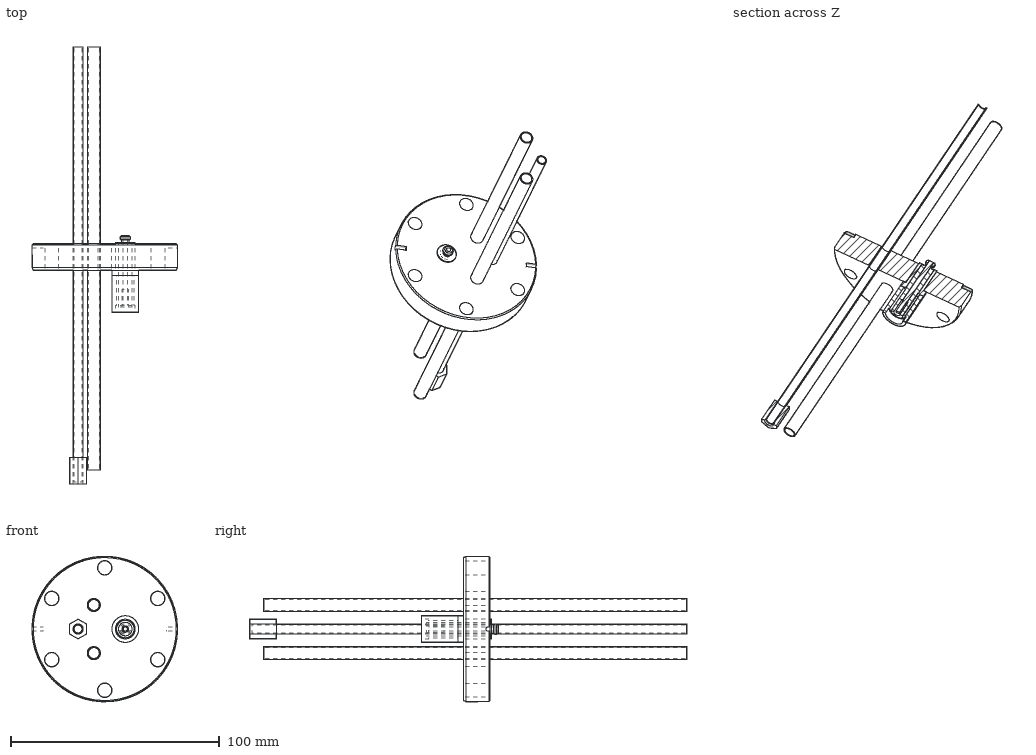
import cadquery as cq
import math

FRONT_END = -104.8
REAR_END = 104.8

FLANGE_DIAMETER = 69.8
FLANGE_THICKNESS = 12.8
FLANGE_REAR = 10.5
FLANGE_FRONT = FLANGE_REAR - FLANGE_THICKNESS
RIM_CHAMFER = 0.6
FRONT_CHAMFER_LENGTH = 1.3
BOLT_COUNT = 6
BOLT_CIRCLE_DIAMETER = 58.7
BOLT_HOLE_DIAMETER = 6.7

GROOVE_WIDTH = 2.03
GROOVE_DEPTH = 2.03
GROOVE_LENGTH = 5.2

TUBE_DIAMETER = 6.3
TUBE_BORE = 5.2
TUBE_X = -5.2
TUBE_SPACING = 23.0
TUBE_HEIGHTS = (-TUBE_SPACING / 2, TUBE_SPACING / 2)
TUBE_FRONT = -98.0

THIN_TUBE_DIAMETER = 4.8
THIN_TUBE_BORE = 3.8
THIN_TUBE_X = -12.8
HEX_CORNER_DIAMETER = 9.5
HEX_LENGTH = 12.8
HEX_REAR = FRONT_END + HEX_LENGTH
HEX_RECESS_DEPTH = 1.0

CONNECTOR_X = 9.8
BARREL_DIAMETER = 12.8
BARREL_BORE = 8.4
BARREL_MOUTH_DIAMETER = 9.5
BARREL_MOUTH_DEPTH = 3.4
BARREL_FRONT = -22.5
COLLAR_FRONT = -4.8
STEM_DIAMETER = 9.5
STEM_PROJECTION = 0.6
STEM_REAR = FLANGE_REAR + STEM_PROJECTION
INSULATOR_DIAMETER = 6.5
INSULATOR_FRONT = -20.0
RECESS_DIAMETER = 3.1
RECESS_DEPTH = 8.4
KNOB_DIAMETER = 5.0
KNOB_PROJECTION = 3.4
KNOB_REAR = STEM_REAR + KNOB_PROJECTION
KNOB_CHAMFER = 0.8
KNOB_LENGTH = 2.5
KNOB_NECK_DIAMETER = 3.8
PIN_DIAMETER = 2.03
PIN_FRONT = -18.9


def rod(diameter, y_start, y_end, x=0.0, z=0.0):
    """Cylinder along Y between two Y positions."""
    base = cq.Workplane("XZ", origin=(x, y_start, z)).circle(diameter / 2)
    return base.extrude(y_start - y_end)


def make_flange():
    radius = FLANGE_DIAMETER / 2
    profile = [
        (0, FLANGE_FRONT),
        (radius - RIM_CHAMFER, FLANGE_FRONT),
        (radius, FLANGE_FRONT + FRONT_CHAMFER_LENGTH),
        (radius, FLANGE_REAR - RIM_CHAMFER),
        (radius - RIM_CHAMFER, FLANGE_REAR),
        (0, FLANGE_REAR),
    ]
    flange = cq.Workplane("XY").polyline(profile).close().revolve(360, (0, 0, 0), (0, 1, 0))
    for i in range(BOLT_COUNT):
        angle = math.radians(90 + i * 360 / BOLT_COUNT)
        x = BOLT_CIRCLE_DIAMETER / 2 * math.cos(angle)
        z = BOLT_CIRCLE_DIAMETER / 2 * math.sin(angle)
        flange = flange.cut(rod(BOLT_HOLE_DIAMETER, FLANGE_FRONT, FLANGE_REAR, x, z))
    for side in (-1, 1):
        flange = flange.cut(make_groove_cutter(side))
    for z in TUBE_HEIGHTS:
        flange = flange.cut(rod(TUBE_DIAMETER, FLANGE_FRONT, FLANGE_REAR, TUBE_X, z))
    flange = flange.cut(rod(THIN_TUBE_DIAMETER, FLANGE_FRONT, FLANGE_REAR, THIN_TUBE_X))
    return flange.cut(rod(STEM_DIAMETER, FLANGE_FRONT, FLANGE_REAR, CONNECTOR_X))


def make_groove_cutter(side):
    """Radial groove with a half-round floor, on the -X (side = -1) or +X (side = 1) rim."""
    half_width = GROOVE_WIDTH / 2
    floor = FLANGE_REAR - GROOVE_DEPTH
    start_x = side * FLANGE_DIAMETER / 2
    return (
        cq.Workplane("YZ", origin=(start_x, 0, 0))
        .moveTo(FLANGE_REAR, -half_width)
        .lineTo(floor + half_width, -half_width)
        .threePointArc((floor, 0), (floor + half_width, half_width))
        .lineTo(FLANGE_REAR, half_width)
        .close()
        .extrude(-side * GROOVE_LENGTH)
    )


def make_tube(z):
    outside = rod(TUBE_DIAMETER, TUBE_FRONT, REAR_END, TUBE_X, z)
    return outside.cut(rod(TUBE_BORE, TUBE_FRONT, REAR_END, TUBE_X, z))


def make_thin_tube():
    front = FRONT_END + HEX_RECESS_DEPTH
    outside = rod(THIN_TUBE_DIAMETER, front, REAR_END, THIN_TUBE_X)
    return outside.cut(rod(THIN_TUBE_BORE, front, REAR_END, THIN_TUBE_X))


def make_hex_fitting():
    """Hexagonal sleeve with corners at +Z and -Z, bored through for the thin tube."""
    fitting = (
        cq.Workplane("XZ", origin=(THIN_TUBE_X, HEX_REAR, 0))
        .transformed(rotate=(0, 0, 90))
        .polygon(6, HEX_CORNER_DIAMETER)
        .extrude(HEX_LENGTH)
    )
    return fitting.cut(rod(THIN_TUBE_DIAMETER, FRONT_END, HEX_REAR, THIN_TUBE_X))


def make_barrel():
    outside = rod(BARREL_DIAMETER, BARREL_FRONT, COLLAR_FRONT, CONNECTOR_X)
    mouth = rod(BARREL_MOUTH_DIAMETER, BARREL_FRONT, BARREL_FRONT + BARREL_MOUTH_DEPTH, CONNECTOR_X)
    return outside.cut(mouth).cut(rod(BARREL_BORE, BARREL_FRONT, COLLAR_FRONT, CONNECTOR_X))


def make_collar():
    """Mounting collar on the front face, with a stem through the flange."""
    collar = rod(BARREL_DIAMETER, COLLAR_FRONT, FLANGE_FRONT, CONNECTOR_X)
    collar = collar.union(rod(STEM_DIAMETER, FLANGE_FRONT, STEM_REAR, CONNECTOR_X))
    collar = collar.cut(rod(INSULATOR_DIAMETER, COLLAR_FRONT, FLANGE_REAR, CONNECTOR_X))
    return collar.cut(rod(KNOB_NECK_DIAMETER, FLANGE_REAR, STEM_REAR, CONNECTOR_X))


def make_insulator():
    """Insulator with a recessed front end and a chamfered knob on a neck at the rear."""
    knob = rod(KNOB_DIAMETER, KNOB_REAR - KNOB_LENGTH, KNOB_REAR, CONNECTOR_X)
    knob = knob.faces("<Y or >Y").chamfer(KNOB_CHAMFER)
    neck = rod(KNOB_NECK_DIAMETER, FLANGE_REAR, KNOB_REAR, CONNECTOR_X)
    insulator = rod(INSULATOR_DIAMETER, INSULATOR_FRONT, FLANGE_REAR, CONNECTOR_X).union(neck).union(knob)
    recess_end = INSULATOR_FRONT + RECESS_DEPTH
    insulator = insulator.cut(rod(RECESS_DIAMETER, INSULATOR_FRONT, recess_end, CONNECTOR_X))
    return insulator.cut(rod(PIN_DIAMETER, recess_end, KNOB_REAR, CONNECTOR_X))


def make_pin():
    return rod(PIN_DIAMETER, PIN_FRONT, KNOB_REAR, CONNECTOR_X)


flange = make_flange()
tubes = [make_tube(z) for z in TUBE_HEIGHTS]
thin_tube = make_thin_tube()
hex_fitting = make_hex_fitting()
barrel = make_barrel()
collar = make_collar()
insulator = make_insulator()
pin = make_pin()

result = cq.Compound.makeCompound([
    flange.val(),
    *[tube.val() for tube in tubes],
    thin_tube.val(),
    hex_fitting.val(),
    barrel.val(),
    collar.val(),
    insulator.val(),
    pin.val(),
])